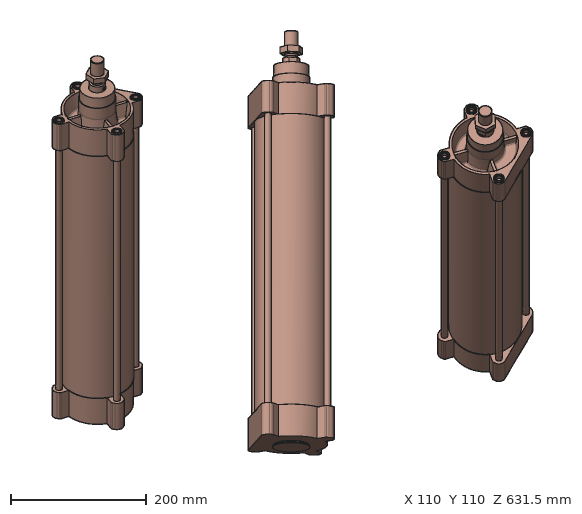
import cadquery as cq
import math

TOTAL_HEIGHT = 631.5
SPIGOT_RING_HEIGHT = 2.0
SPIGOT_HEIGHT = 4.1
CAP_HEIGHT = 48.0
TOP_CAP_TOP = 542.0
COLLAR_STEP = 562.0
COLLAR_TOP = 580.0
WRENCH_FLAT_BOTTOM = 581.5
ROD_SHOULDER = 590.5
THREAD_BOTTOM = 596.0
NUT_BOTTOM = 598.0
NUT_HEIGHT = 9.5
TOP_CAP_BOTTOM = TOP_CAP_TOP - CAP_HEIGHT
BOTTOM_CAP_TOP = SPIGOT_HEIGHT + CAP_HEIGHT

CAP_WIDTH = 110.0
BOLT_OFFSET = 45.0
CORNER_RADIUS = CAP_WIDTH / 2 - BOLT_OFFSET
LUG_HALF_WIDTH = 11.0
LUG_SHOULDER_RADIUS = 3.0
CAP_ROUND_DIAMETER = 107.0
DIAGONALS = (45, 135)

BARREL_DIAMETER = 108.5
TIE_ROD_DIAMETER = 10.0

RECESS_DIAMETER = 16.0
RECESS_DEPTH = 2.0
ROUND_NUT_DIAMETER = 12.5
ROUND_NUT_CHAMFER = 1.0
SOCKET_DIAMETER = 8.0
SOCKET_DEPTH = 6.0

POCKET_DIAMETER = 98.5
POCKET_FLOOR_DIAMETER = 88.5
POCKET_DEPTH = 25.0
SHALLOW_POCKET_DEPTH = 12.5
HUB_FLOOR_DIAMETER = 60.0
RIB_DROP = 3.0
RIB_WIDTH = 4.5
RIB_FLOOR_WIDTH = 12.5
POCKET_FILLET = 1.6

COLLAR_DIAMETER = 55.0
COLLAR_TIP_BASE_DIAMETER = 53.0
COLLAR_TIP_DIAMETER = 52.0
SPIGOT_NECK_DIAMETER = 51.0

ROD_DIAMETER = 25.0
WRENCH_FLAT_WIDTH = 22.0
THREAD_DIAMETER = 20.0
THREAD_CHAMFER = 0.95
NECK_DIAMETER = 17.5
RUNOUT_HEIGHT = 2.5
NUT_ACROSS_FLATS = 29.5


def cylinder(diameter, bottom, top, x=0, y=0):
    disc = cq.Workplane("XY", origin=(x, y, bottom)).circle(diameter / 2)
    return disc.extrude(top - bottom)


def cone(bottom_diameter, top_diameter, bottom, top):
    solid = cq.Solid.makeCone(
        bottom_diameter / 2, top_diameter / 2, top - bottom, cq.Vector(0, 0, bottom)
    )
    return cq.Workplane(solid)


def corner_points():
    return [(sx * BOLT_OFFSET, sy * BOLT_OFFSET) for sx in (-1, 1) for sy in (-1, 1)]


def quadrant_prism(bottom, top):
    """Prism over the +Y quarter of a cap, between the two +Y corners."""
    half = CAP_WIDTH / 2
    triangle = cq.Workplane("XY", origin=(0, 0, bottom)).polyline([(0, 0), (half, half), (-half, half)])
    return triangle.close().extrude(top - bottom)


def end_cap(bottom):
    """Round block with four diagonal corner lugs and one flat side joining the two +Y lugs."""
    top = bottom + CAP_HEIGHT
    plan = cq.Workplane("XY", origin=(0, 0, bottom))
    lugs = quadrant_prism(bottom, top)
    for angle in DIAGONALS:
        bar = plan.rect(2 * CAP_WIDTH, 2 * LUG_HALF_WIDTH).extrude(CAP_HEIGHT)
        lugs = lugs.union(bar.rotate((0, 0, 0), (0, 0, 1), angle))
    square = plan.rect(CAP_WIDTH, CAP_WIDTH).extrude(CAP_HEIGHT)
    square = square.edges("|Z").fillet(CORNER_RADIUS)
    lugs = lugs.intersect(square)
    shoulder = CAP_WIDTH / 2 - LUG_HALF_WIDTH * math.sqrt(2)
    points = [(sx * shoulder, -CAP_WIDTH / 2) for sx in (-1, 1)]
    points += [(sx * CAP_WIDTH / 2, sy * shoulder) for sx in (-1, 1) for sy in (-1, 1)]
    for x, y in points:
        edge = cq.selectors.NearestToPointSelector((x, y, bottom + CAP_HEIGHT / 2))
        lugs = lugs.edges(edge).fillet(LUG_SHOULDER_RADIUS)
    return lugs.union(cylinder(CAP_ROUND_DIAMETER, bottom, top))


def ring_pocket():
    """Drafted ring pocket, split into four by diagonal ribs and shallower on the +Y side."""
    floor = TOP_CAP_TOP - POCKET_DEPTH
    pocket = cone(POCKET_FLOOR_DIAMETER, POCKET_DIAMETER, floor, TOP_CAP_TOP)
    pocket = pocket.cut(cone(HUB_FLOOR_DIAMETER, COLLAR_DIAMETER, floor, TOP_CAP_TOP))
    pocket = pocket.cut(quadrant_prism(floor, TOP_CAP_TOP - SHALLOW_POCKET_DEPTH))
    rib_top = TOP_CAP_TOP - RIB_DROP
    rib_section = [
        (-RIB_FLOOR_WIDTH / 2, floor),
        (RIB_FLOOR_WIDTH / 2, floor),
        (RIB_WIDTH / 2, rib_top),
        (-RIB_WIDTH / 2, rib_top),
    ]
    rib = cq.Workplane("XZ").polyline(rib_section).close().extrude(CAP_WIDTH / 2, both=True)
    for angle in DIAGONALS:
        pocket = pocket.cut(rib.rotate((0, 0, 0), (0, 0, 1), angle))
    margin = POCKET_FILLET
    floors = cq.selectors.BoxSelector(
        (-CAP_WIDTH, -CAP_WIDTH, floor - margin),
        (CAP_WIDTH, CAP_WIDTH, TOP_CAP_TOP - SHALLOW_POCKET_DEPTH + margin),
    )
    return pocket.faces("-Z").edges(floors).fillet(POCKET_FILLET)


def tie_rod_nut_recess(x, y):
    """Round recess around a chamfered nut that has a blind socket in its end."""
    floor = TOP_CAP_TOP - RECESS_DEPTH
    nut = cylinder(ROUND_NUT_DIAMETER, floor, TOP_CAP_TOP, x, y).faces(">Z").chamfer(ROUND_NUT_CHAMFER)
    recess = cylinder(RECESS_DIAMETER, floor, TOP_CAP_TOP, x, y).cut(nut)
    return recess.union(cylinder(SOCKET_DIAMETER, TOP_CAP_TOP - SOCKET_DEPTH, TOP_CAP_TOP, x, y))


def make_housing():
    body = cylinder(BARREL_DIAMETER, BOTTOM_CAP_TOP, TOP_CAP_BOTTOM)
    body = body.union(end_cap(SPIGOT_HEIGHT)).union(end_cap(TOP_CAP_BOTTOM))
    for x, y in corner_points():
        body = body.union(cylinder(TIE_ROD_DIAMETER, BOTTOM_CAP_TOP, TOP_CAP_BOTTOM, x, y))
    body = body.cut(ring_pocket())
    for x, y in corner_points():
        body = body.cut(tie_rod_nut_recess(x, y))
    body = body.union(cylinder(COLLAR_DIAMETER, TOP_CAP_TOP, COLLAR_STEP))
    body = body.union(cone(COLLAR_TIP_BASE_DIAMETER, COLLAR_TIP_DIAMETER, COLLAR_STEP, COLLAR_TOP))
    body = body.union(cylinder(COLLAR_DIAMETER, 0, SPIGOT_RING_HEIGHT))
    body = body.union(cylinder(SPIGOT_NECK_DIAMETER, SPIGOT_RING_HEIGHT, SPIGOT_HEIGHT))
    return body.cut(cylinder(ROD_DIAMETER, TOP_CAP_BOTTOM, COLLAR_TOP))


def make_piston_rod():
    rod = cylinder(ROD_DIAMETER, TOP_CAP_BOTTOM, ROD_SHOULDER)
    flats = cq.Workplane("XY", origin=(0, 0, WRENCH_FLAT_BOTTOM)).rect(WRENCH_FLAT_WIDTH, ROD_DIAMETER)
    lower = cylinder(ROD_DIAMETER, TOP_CAP_BOTTOM, WRENCH_FLAT_BOTTOM)
    rod = rod.intersect(lower.union(flats.extrude(ROD_SHOULDER - WRENCH_FLAT_BOTTOM)))
    thread = cylinder(THREAD_DIAMETER, THREAD_BOTTOM, TOTAL_HEIGHT).faces(">Z").chamfer(THREAD_CHAMFER)
    runout = cone(NECK_DIAMETER, THREAD_DIAMETER, THREAD_BOTTOM - RUNOUT_HEIGHT, THREAD_BOTTOM)
    neck = cylinder(NECK_DIAMETER, ROD_SHOULDER, THREAD_BOTTOM - RUNOUT_HEIGHT).union(runout)
    return rod.union(neck).union(thread)


def make_nut():
    corners = NUT_ACROSS_FLATS / math.cos(math.pi / 6)
    nut = cq.Workplane("XY", origin=(0, 0, NUT_BOTTOM)).polygon(6, corners).extrude(NUT_HEIGHT)
    nut = nut.rotate((0, 0, 0), (0, 0, 1), 30)
    return nut.cut(cylinder(THREAD_DIAMETER, NUT_BOTTOM, NUT_BOTTOM + NUT_HEIGHT))


housing = make_housing()
piston_rod = make_piston_rod()
nut = make_nut()

result = cq.Compound.makeCompound([housing.val(), piston_rod.val(), nut.val()])